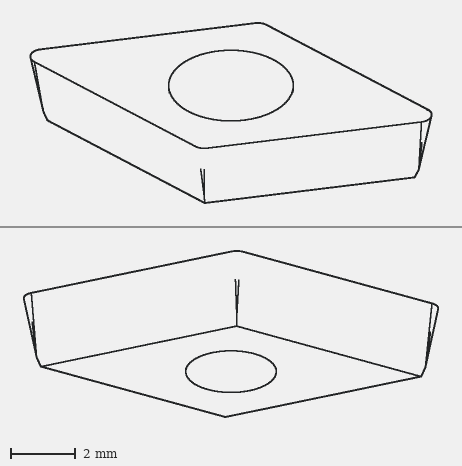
import cadquery as cq
import math

thickness = 2.37
inscribed_radius = 3.18
acute_angle = 55.0
relief_angle = 11.0
nose_radius = 0.4

rim_radius = 1.93
wall_end_radius = 1.89
wall_end_depth = 0.55
seat_radius = 1.8
seat_depth = 0.77
blend_radius = 0.39
throat_radius = 2.8 / 2
throat_depth = 2.16


def corner_points(inradius):
    """Corners of the rhombus around an inscribed circle, counterclockwise from the upper right."""
    half_side = inradius / math.sin(math.radians(acute_angle))
    lean = inradius / math.tan(math.radians(acute_angle))
    return [
        (half_side + lean, inradius),
        (lean - half_side, inradius),
        (-half_side - lean, -inradius),
        (half_side - lean, -inradius),
    ]


def insert_body():
    """Rounded rhombus tapering downward; its nose cones run out into sharp lower edges."""
    rounded_rhombus = (
        cq.Workplane("XY", origin=(0, 0, thickness))
        .polyline(corner_points(inscribed_radius)).close()
        .extrude(-thickness)
        .edges("|Z").fillet(nose_radius)
    )
    top_outline = rounded_rhombus.faces(">Z").wires().val()
    downward = cq.Vector(0, 0, -thickness)
    return cq.Workplane(obj=cq.Solid.extrudeLinear(top_outline, [], downward, relief_angle))


def screw_hole():
    """Tapered wall, rounded blend, curved funnel and cylindrical throat, revolved about Z."""
    funnel_drop = throat_depth - seat_depth
    funnel_step = seat_radius - throat_radius
    funnel_radius = (funnel_drop**2 + funnel_step**2) / (2 * funnel_step)
    return (
        cq.Workplane("XZ")
        .moveTo(0, thickness)
        .lineTo(rim_radius, thickness)
        .lineTo(wall_end_radius, thickness - wall_end_depth)
        .radiusArc((seat_radius, thickness - seat_depth), blend_radius)
        .radiusArc((throat_radius, thickness - throat_depth), -funnel_radius)
        .lineTo(throat_radius, 0)
        .lineTo(0, 0)
        .close()
        .revolve(360, (0, 0, 0), (0, 1, 0))
    )


result = insert_body().cut(screw_hole())